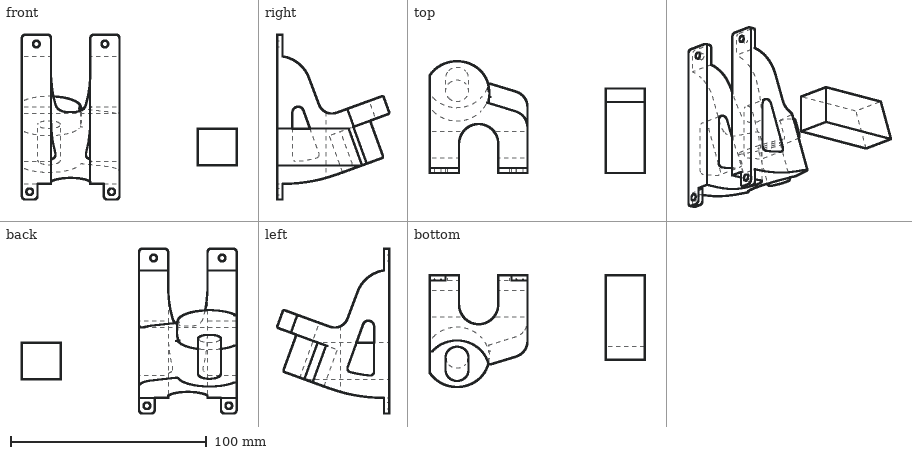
import cadquery as cq
import math

BRACKET_WIDTH = 50.0
BRACKET_HEIGHT = 84.5
FLANGE_THICKNESS = 2.8
FLANGE_BOTTOM = 8.0
TAB_WIDTH = 8.1
FLANGE_CORNER_RADIUS = 2.0
SCREW_DIAMETER = 3.3
TOP_HOLE_DROP = 4.8
TAB_HOLE_INSET = 4.1

CHANNEL_RADIUS = 10.0
CHANNEL_AXIS_Y = 15.1

TILT = 20.0
SHOULDER_RADIUS = 17.4
SHOULDER_CENTER_Z = 56.2
WALL_OUT = 36.7
WALL_FILLET = 7.0
ARM_TOP = 31.5
ARM_THICKNESS = 9.8
BELLY_RADIUS = 82.5
BELLY_START_Z = FLANGE_BOTTOM

DISC_RADIUS = 16.5
DISC_X = 14.0
DISC_OUT = 52.7
EDGE_RADIUS = 1.0
PIN_RADIUS = 5.8
CLEARANCE_EDGE_FILLET = 0.8

SLOPE_ANGLE = 18.0
SLOPE_END_OUT = 43.1
SLOPE_CORNER_RADIUS = 8.9

WINDOW_BACK_Y = 7.8
WINDOW_WALL = 8.6
WINDOW_FLOOR = 11.1
WINDOW_TOP_RADIUS = 2.9
WINDOW_CORNER_RADIUS = 2.0

BLOCK_WIDTH = 20.0
BLOCK_HEIGHT = 18.8
BLOCK_X = 110 - BLOCK_WIDTH
BLOCK_Z = 17.6
BLOCK_TOP_DEPTH = 36.5

SIN = math.sin(math.radians(TILT))
COS = math.cos(math.radians(TILT))
LEG_WIDTH = BRACKET_WIDTH / 2 - CHANNEL_RADIUS
BELLY_CENTER = (FLANGE_THICKNESS, BELLY_START_Z + BELLY_RADIUS)
ARM_UNDERSIDE = ARM_TOP - ARM_THICKNESS
BASE_UP = BELLY_CENTER[1] * COS - BELLY_CENTER[0] * SIN - BELLY_RADIUS
MARGIN = 11.0


def tilted_point(out, up):
    """(Y, Z) of a point given along and normal to the arm."""
    return (out * COS - up * SIN, out * SIN + up * COS)


def tilted_plane(up):
    """Plane along the arm: local x is X, local y is 'out'."""
    y, z = tilted_point(0, up)
    return cq.Workplane(cq.Plane(origin=(0, y, z), xDir=(1, 0, 0), normal=(0, -SIN, COS)))


def arc_point(center, radius, degrees):
    angle = math.radians(degrees)
    return (center[0] + radius * math.cos(angle), center[1] + radius * math.sin(angle))


def side_body():
    """Side profile of the legs and arm, over the full width."""
    shoulder = (0, SHOULDER_CENTER_Z)
    shoulder_start = math.degrees(math.acos(FLANGE_THICKNESS / SHOULDER_RADIUS))
    shoulder_end = arc_point(shoulder, SHOULDER_RADIUS, TILT)
    fillet_center = (WALL_OUT + WALL_FILLET, ARM_TOP + WALL_FILLET)
    fillet_middle = WALL_FILLET * math.sqrt(0.5)
    tip_out = DISC_OUT + DISC_RADIUS
    return (
        cq.Workplane("YZ")
        .moveTo(0, BELLY_START_Z)
        .lineTo(FLANGE_THICKNESS, BELLY_START_Z)
        .threePointArc(
            arc_point(BELLY_CENTER, BELLY_RADIUS, -90 + TILT / 2),
            arc_point(BELLY_CENTER, BELLY_RADIUS, -90 + TILT),
        )
        .lineTo(*tilted_point(tip_out, BASE_UP))
        .lineTo(*tilted_point(tip_out, ARM_TOP))
        .lineTo(*tilted_point(fillet_center[0], ARM_TOP))
        .threePointArc(
            tilted_point(fillet_center[0] - fillet_middle, fillet_center[1] - fillet_middle),
            tilted_point(WALL_OUT, fillet_center[1]),
        )
        .lineTo(*shoulder_end)
        .threePointArc(
            arc_point(shoulder, SHOULDER_RADIUS, (TILT + shoulder_start) / 2),
            arc_point(shoulder, SHOULDER_RADIUS, shoulder_start),
        )
        .lineTo(0, arc_point(shoulder, SHOULDER_RADIUS, shoulder_start)[1])
        .close()
        .extrude(BRACKET_WIDTH)
    )


def arm_footprint():
    """Prism along the tilted normal that gives the arm its sloping, rounded outer edge."""
    slope_rise = (BRACKET_WIDTH - DISC_X) * math.tan(math.radians(SLOPE_ANGLE))
    below = BASE_UP - BRACKET_HEIGHT
    return (
        tilted_plane(below)
        .polyline([
            (0, -BRACKET_HEIGHT),
            (BRACKET_WIDTH, -BRACKET_HEIGHT),
            (BRACKET_WIDTH, SLOPE_END_OUT),
            (DISC_X, SLOPE_END_OUT + slope_rise),
            (DISC_X, DISC_OUT),
            (0, DISC_OUT),
        ])
        .close()
        .extrude(3 * BRACKET_HEIGHT)
        .edges(cq.selectors.NearestToPointSelector((BRACKET_WIDTH, *tilted_point(SLOPE_END_OUT, ARM_TOP))))
        .fillet(SLOPE_CORNER_RADIUS)
    )


def disc_clearance():
    """Round space around the pin, below the arm."""
    return (
        tilted_plane(BASE_UP - MARGIN)
        .center(DISC_X, DISC_OUT)
        .circle(DISC_RADIUS)
        .extrude(ARM_UNDERSIDE - BASE_UP + MARGIN)
    )


def arm_disc():
    """Round end of the arm with rounded edges, cut off flush with the side of the bracket."""
    disc = (
        tilted_plane(ARM_UNDERSIDE)
        .center(DISC_X, DISC_OUT)
        .circle(DISC_RADIUS)
        .extrude(ARM_THICKNESS)
        .edges()
        .fillet(EDGE_RADIUS)
    )
    return disc.intersect(
        cq.Workplane().box(BRACKET_WIDTH, BRACKET_HEIGHT, BRACKET_HEIGHT, centered=(False, False, False))
    )


def arm_pin():
    return (
        tilted_plane(ARM_UNDERSIDE)
        .center(DISC_X, DISC_OUT)
        .circle(PIN_RADIUS)
        .extrude(BASE_UP - ARM_UNDERSIDE)
        .faces("<Z")
        .fillet(EDGE_RADIUS)
    )


def channel():
    """Vertical U-shaped channel, open towards the mounting plane."""
    left = BRACKET_WIDTH / 2 - CHANNEL_RADIUS
    right = BRACKET_WIDTH / 2 + CHANNEL_RADIUS
    return (
        cq.Workplane("XY")
        .moveTo(left, 0)
        .lineTo(left, CHANNEL_AXIS_Y)
        .threePointArc((BRACKET_WIDTH / 2, CHANNEL_AXIS_Y + CHANNEL_RADIUS), (right, CHANNEL_AXIS_Y))
        .lineTo(right, 0)
        .close()
        .extrude(BRACKET_HEIGHT)
    )


def window():
    """Three-sided opening: upright back, tilted front, and a floor concentric with the belly."""
    front_out = WALL_OUT - WINDOW_WALL
    floor_radius = BELLY_RADIUS - WINDOW_FLOOR
    center_out = BELLY_CENTER[0] * COS + BELLY_CENTER[1] * SIN
    front_angle = -90 + TILT + math.degrees(math.asin((front_out - center_out) / floor_radius))
    back_angle = -math.degrees(math.acos((WINDOW_BACK_Y - BELLY_CENTER[0]) / floor_radius))
    top = (WINDOW_BACK_Y, (front_out - WINDOW_BACK_Y * COS) / SIN)
    opening = (
        cq.Workplane("YZ")
        .moveTo(*top)
        .lineTo(*arc_point(BELLY_CENTER, floor_radius, back_angle))
        .threePointArc(
            arc_point(BELLY_CENTER, floor_radius, (back_angle + front_angle) / 2),
            arc_point(BELLY_CENTER, floor_radius, front_angle),
        )
        .close()
        .extrude(BRACKET_WIDTH)
    )
    opening = opening.edges("|X").edges(">Z").fillet(WINDOW_TOP_RADIUS)
    lower_half = cq.selectors.BoxSelector((0, 0, 0), (BRACKET_WIDTH, BRACKET_HEIGHT, BRACKET_HEIGHT / 3))
    return opening.edges("|X").edges(lower_half).fillet(WINDOW_CORNER_RADIUS)


def left_flange():
    """Mounting strip of the left leg, with a narrower tab at the bottom and two screw holes."""
    strip = (
        cq.Workplane("XY")
        .box(LEG_WIDTH, FLANGE_THICKNESS, BRACKET_HEIGHT - FLANGE_BOTTOM, centered=False)
        .translate((0, 0, FLANGE_BOTTOM))
        .edges("|Y and >Z")
        .fillet(FLANGE_CORNER_RADIUS)
    )
    tab = (
        cq.Workplane("XY")
        .box(TAB_WIDTH, FLANGE_THICKNESS, FLANGE_BOTTOM, centered=False)
        .edges("|Y and <Z")
        .fillet(FLANGE_CORNER_RADIUS)
    )
    holes = (
        cq.Workplane("XZ")
        .pushPoints([
            (LEG_WIDTH / 2, BRACKET_HEIGHT - TOP_HOLE_DROP),
            (TAB_HOLE_INSET, TAB_HOLE_INSET),
        ])
        .circle(SCREW_DIAMETER / 2)
        .extrude(-FLANGE_THICKNESS)
    )
    return strip.union(tab).cut(holes)


def make_bracket():
    body = side_body().intersect(arm_footprint()).cut(disc_clearance())
    left_out = DISC_OUT - math.sqrt(DISC_RADIUS**2 - DISC_X**2)
    slope_x = DISC_X + DISC_RADIUS
    for x, out in [(0, left_out), (slope_x, DISC_OUT)]:
        edge_middle = tilted_point(out, (BASE_UP + ARM_UNDERSIDE) / 2)
        breakout_edge = cq.selectors.NearestToPointSelector((x, *edge_middle))
        body = body.edges(breakout_edge).fillet(CLEARANCE_EDGE_FILLET)
    body = body.union(arm_disc()).union(arm_pin()).cut(channel()).cut(window())
    flange = left_flange()
    right_flange = flange.mirror("YZ").translate((BRACKET_WIDTH, 0, 0))
    return body.union(flange).union(right_flange)


def make_block():
    """Block whose outer end leans with the arm's tilt."""
    bottom_depth = BLOCK_TOP_DEPTH + BLOCK_HEIGHT * math.tan(math.radians(TILT))
    return (
        cq.Workplane("YZ", origin=(BLOCK_X, 0, BLOCK_Z))
        .polyline([(0, 0), (bottom_depth, 0), (BLOCK_TOP_DEPTH, BLOCK_HEIGHT), (0, BLOCK_HEIGHT)])
        .close()
        .extrude(BLOCK_WIDTH)
    )


bracket = make_bracket()
block = make_block()
result = cq.Compound.makeCompound([bracket.val(), block.val()])